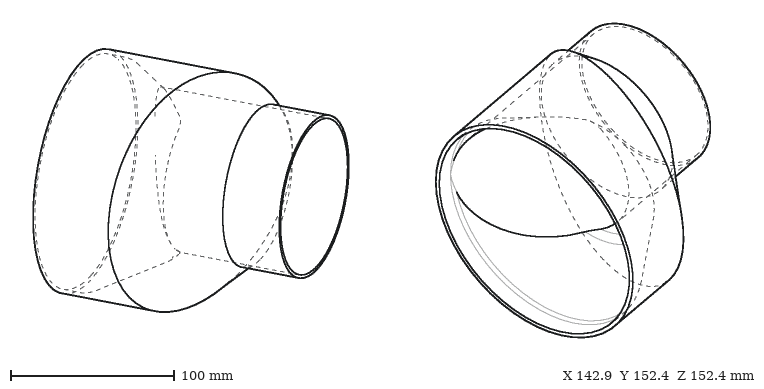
import cadquery as cq
import math

total_length = 142.88
small_tube_length = 38.1
shoulder_x = total_length - small_tube_length

large_outer_radius = 152.4 / 2
large_inner_radius = 146.86 / 2
small_outer_radius = 101.6 / 2
small_inner_radius = 97.38 / 2

axis_offset = large_inner_radius - small_inner_radius

cone_start_x = 50.8
cone_start_radius = axis_offset + large_outer_radius

cavity_straight_depth = 12.7
cavity_depth = 63.5
cavity_half_angle = math.radians(30)
cavity_fillet_radius = 6.35


def revolved_about_x(points, axis_y):
    """Solid of revolution from (x, radius) points about the line Y = axis_y, Z = 0."""
    profile = cq.Workplane("XY").polyline(points).close()
    return profile.revolve(360, (0, 0, 0), (1, 0, 0)).translate((0, axis_y, 0))


def outer_body():
    """Large cylinder trimmed by the outer cone, joined to the small tube."""
    large_cylinder = cq.Workplane("YZ").circle(large_outer_radius).extrude(shoulder_x)
    cone_envelope = revolved_about_x(
        [
            (0, 0),
            (0, cone_start_radius),
            (cone_start_x, cone_start_radius),
            (shoulder_x, small_outer_radius),
            (shoulder_x, 0),
        ],
        axis_offset,
    )
    small_tube = (
        cq.Workplane("YZ", origin=(shoulder_x, axis_offset, 0))
        .circle(small_outer_radius)
        .extrude(small_tube_length)
    )
    return large_cylinder.intersect(cone_envelope).union(small_tube)


def tapered_cavity():
    """Straight mouth, cone and flat floor, rounded at both ends of the cone."""
    taper_length = cavity_depth - cavity_straight_depth
    floor_radius = large_inner_radius - taper_length * math.tan(cavity_half_angle)
    cavity = revolved_about_x(
        [
            (0, 0),
            (0, large_inner_radius),
            (cavity_straight_depth, large_inner_radius),
            (cavity_depth, floor_radius),
            (cavity_depth, 0),
        ],
        0,
    )
    for cone_end_x in (cavity_depth, cavity_straight_depth):
        cone_end = cq.NearestToPointSelector((cone_end_x, 0, 0))
        cavity = cavity.edges("%CIRCLE").edges(cone_end).fillet(cavity_fillet_radius)
    return cavity


def small_bore():
    """Bore of the small tube, continued through the body to the large opening."""
    return (
        cq.Workplane("YZ", origin=(0, axis_offset, 0))
        .circle(small_inner_radius)
        .extrude(total_length)
    )


result = outer_body().cut(tapered_cavity()).cut(small_bore())